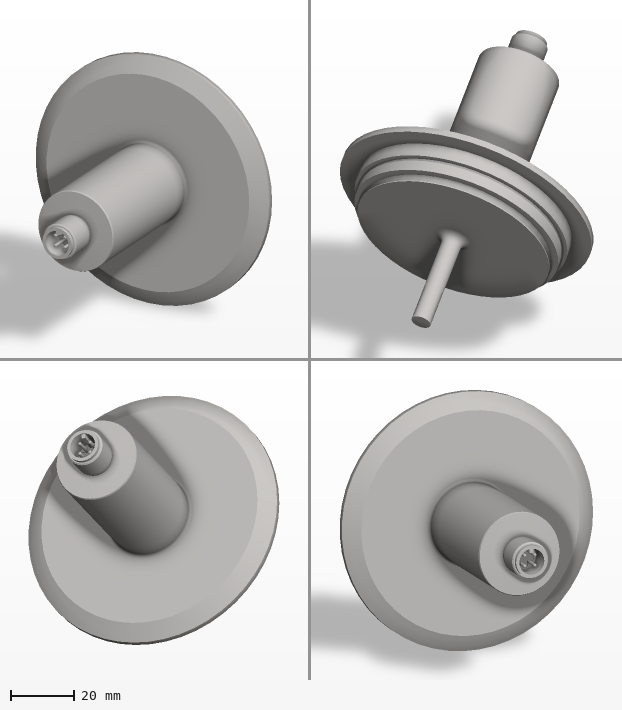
import cadquery as cq
import math

REAR_END = 49.1
FRONT_END = -60.1

stem_radius = 6.3 / 2
stem_fillet = 2.8

flange_radius = 84.0 / 2
flange_face_radius = 73.0 / 2
flange_edge_front = 3.0
flange_back = 5.0
large_step_radius = 71.0 / 2
large_step_back = 9.6
small_step_radius = 68.0 / 2
small_step_back = 14.2
groove_width = 1.0
groove_depth = 0.3
collar_back = 17.1
lip_radius = 64.0 / 2
lip_thickness = 0.3
neck_radius = 31.5
neck_hollow = 0.7

housing_radius = 27.1 / 2
housing_fillet = 1.0
housing_edge = -47.5
housing_chamfer_length = 0.5
housing_chamfer_depth = 0.2
end_cone_height = 0.4
end_flat_radius = 6.2

barrel_radius = 12.0 / 2
barrel_front = -58.3
barrel_chamfer = 0.4
relief_radius = 5.7
relief_end = -49.4
relief_taper = 0.3
nose_radius = 10.5 / 2

socket_radius = 8.3 / 2
socket_depth = 8.2
recess_radius = 3.5
recess_arm_width = 3.0
recess_depth = 0.3
key_width = 1.3
key_inner_height = 2.7
key_setback = 0.5
pin_count = 4
pin_radius = 1.0 / 2
pin_circle_radius = 2.4
pin_setback = 1.6
pin_tip_chamfer = 0.2


def turned_body():
    """Revolve the outer half profile, from the rear stem to the connector nose."""
    arc_share = math.sqrt(0.5)
    stem_arc_offset = stem_fillet * (1 - arc_share)
    housing_arc_offset = housing_fillet * (1 - arc_share)
    hollow_back = collar_back - lip_thickness
    housing_end = housing_edge - housing_chamfer_length
    cone_radius = housing_radius - housing_chamfer_depth
    profile = (
        cq.Workplane("XY")
        .moveTo(0, REAR_END)
        .lineTo(stem_radius, REAR_END)
        .lineTo(stem_radius, collar_back + stem_fillet)
        .threePointArc(
            (stem_radius + stem_arc_offset, collar_back + stem_arc_offset),
            (stem_radius + stem_fillet, collar_back),
        )
        .lineTo(lip_radius, collar_back)
        .lineTo(lip_radius, hollow_back)
        .threePointArc(
            (neck_radius - neck_hollow, (hollow_back + small_step_back) / 2),
            (neck_radius, small_step_back),
        )
        .lineTo(small_step_radius, small_step_back)
        .lineTo(small_step_radius, large_step_back + groove_width)
        .lineTo(small_step_radius - groove_depth, large_step_back + groove_width)
        .lineTo(small_step_radius - groove_depth, large_step_back)
        .lineTo(large_step_radius, large_step_back)
        .lineTo(large_step_radius, flange_back)
        .lineTo(flange_radius, flange_back)
        .lineTo(flange_radius, flange_edge_front)
        .lineTo(flange_face_radius, 0)
        .lineTo(housing_radius + housing_fillet, 0)
        .threePointArc(
            (housing_radius + housing_arc_offset, -housing_arc_offset),
            (housing_radius, -housing_fillet),
        )
        .lineTo(housing_radius, housing_edge)
        .lineTo(cone_radius, housing_end)
        .lineTo(end_flat_radius, housing_end - end_cone_height)
        .lineTo(relief_radius, housing_end - end_cone_height)
        .lineTo(relief_radius, relief_end)
        .lineTo(barrel_radius, relief_end - relief_taper)
        .lineTo(barrel_radius, barrel_front)
        .lineTo(barrel_radius - barrel_chamfer, barrel_front - barrel_chamfer)
        .lineTo(nose_radius, barrel_front - barrel_chamfer)
        .lineTo(nose_radius, FRONT_END)
        .lineTo(0, FRONT_END)
        .close()
    )
    return profile.revolve(360, (0, 0, 0), (0, 1, 0))


def facing_forward(y):
    """Workplane at the given Y whose normal points to the rear (+Y)."""
    return cq.Workplane(cq.Plane(origin=(0, y, 0), xDir=(1, 0, 0), normal=(0, 1, 0)))


def socket_cut():
    """Round bore with a shallow cross-shaped recess in its floor."""
    floor = FRONT_END + socket_depth
    bore = facing_forward(FRONT_END).circle(socket_radius).extrude(socket_depth)
    arm_length = 2 * recess_radius
    cross = (
        facing_forward(floor).rect(arm_length, recess_arm_width).extrude(recess_depth)
        .union(facing_forward(floor).rect(recess_arm_width, arm_length).extrude(recess_depth))
    )
    disc = facing_forward(floor).circle(recess_radius).extrude(recess_depth)
    return bore.union(cross.intersect(disc))


def coding_key():
    """Rib on the top (+Z) wall of the socket."""
    wall_middle = (socket_radius + nose_radius) / 2
    key_length = socket_depth + recess_depth - key_setback
    return cq.Workplane("XY").box(
        key_width, key_length, wall_middle - key_inner_height, centered=(True, False, False)
    ).translate((0, FRONT_END + key_setback, key_inner_height))


def contact_pins():
    """Chamfered contact pins standing on the socket floor."""
    pin_length = socket_depth + 2 * recess_depth - pin_setback
    return (
        facing_forward(FRONT_END + pin_setback)
        .polarArray(pin_circle_radius, 45, 360, pin_count)
        .circle(pin_radius)
        .extrude(pin_length)
        .faces("<Y")
        .chamfer(pin_tip_chamfer)
    )


result = turned_body().cut(socket_cut()).union(coding_key()).union(contact_pins())